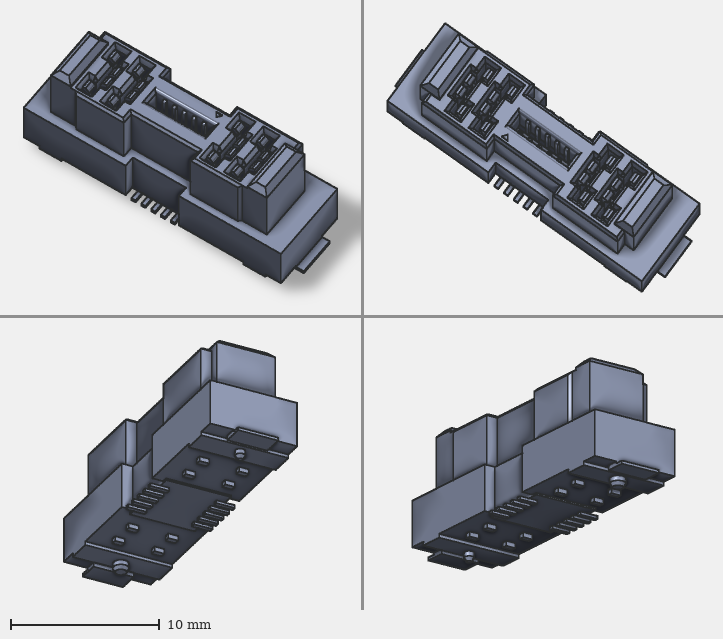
import cadquery as cq
import math


lead_thickness = 0.22
standoff_bottom_z = 0.1
base_bottom_z = 0.35
base_top_z = 3.72
body_top_z = 7.75
post_top_z = 8.33
peg_bottom_z = -0.55

base_length = 21.15
base_width = 6.6
base_neck_length = 4.37
base_neck_width = 4.93
center_plate_length = 5.25
standoff_length = 1.84
standoff_center_x = 8.38

wing_end_x = 8.13
wing_width = 5.47
body_neck_length = 5.47
body_neck_width = 3.75
body_chamfer = 0.2
corner_relief_x = 6.63
corner_relief_bevel = 0.22

post_end_x = 8.87
post_thickness = 1.61
post_front_y = -2.53
post_back_y = 1.9
post_chamfer = 0.43

power_pitch = 2.0
power_inner_x = 4.1
socket_floor_z = base_top_z
power_cell_length = 1.37
power_cell_shift = 0.22
power_middle_shift = 0.27
power_middle_length = 1.3
power_outer_y = 2.3
power_notch_y = 0.76
power_middle_y = 1.32
power_lead_in = 0.22
power_lead_in_depth = 0.45

contact_top_z = 7.57
contact_width = 0.75
contact_nose_x = 0.5
contact_back_x = 2.8
contact_sheet = 1.0
contact_slope_x = 0.9
contact_slope_drop = 0.18
contact_nose_height = 0.4
contact_hook_height = 1.12
middle_contact_y = 0.5
outer_contact_y = 1.5
power_tail_length = 0.4

signal_pitch = 0.8
signal_count = 5
signal_length = 4.75
signal_width = 1.12
signal_rim = 0.22
signal_contact_width = 0.27
signal_contact_reach = 0.2
signal_contact_rounding = 0.18
signal_contact_top_z = 7.35
signal_tail_width = 0.34
signal_tail_end_y = 3.2
signal_tail_start_y = 1.8

mark_length = 0.52
mark_height = 0.35
mark_back_y = 1.48
mark_depth = 0.07
mark_x = 2.15

lock_end_x = 11.2
lock_inner_x = 9.65
lock_width = 3.05
peg_x = 8.6
small_peg_diameter = 0.7
large_peg_diameter = 1.1
peg_chamfer_width = 0.15
peg_chamfer_height = 0.3

SIDES = (-1, 1)
power_centers = [
    side * (power_inner_x + step * power_pitch) for side in SIDES for step in range(2)
]
signal_centers = [(i - (signal_count - 1) / 2) * signal_pitch for i in range(signal_count)]


def block(x_range, y_range, z_range):
    """Box between two limits along each axis, given in either order."""
    sizes = [abs(b - a) for a, b in (x_range, y_range, z_range)]
    lows = [min(pair) for pair in (x_range, y_range, z_range)]
    return cq.Workplane("XY").box(*sizes, centered=False).translate(tuple(lows))


def centered_block(length, width, bottom_z, top_z, x=0, y=0):
    """Box centred at (x, y) between two heights."""
    return block(
        (x - length / 2, x + length / 2), (y - width / 2, y + width / 2), (bottom_z, top_z)
    )


def make_base():
    """Waisted base slab with its center plate and the standoffs that carry the pegs."""
    base = centered_block(base_length, base_width, base_bottom_z, base_top_z)
    for side in SIDES:
        base = base.cut(
            block(
                (-base_neck_length / 2, base_neck_length / 2),
                (side * base_neck_width / 2, side * base_width / 2),
                (base_bottom_z, base_top_z),
            )
        )
        base = base.union(
            centered_block(
                standoff_length, base_width, standoff_bottom_z, base_bottom_z, x=side * standoff_center_x
            )
        )
    return base.union(
        centered_block(center_plate_length, base_neck_width, lead_thickness, base_bottom_z)
    )


def make_body():
    """Waisted mating body with a chamfered rim and its two front corners relieved."""
    end, neck_end = wing_end_x, body_neck_length / 2
    wing, neck = wing_width / 2, body_neck_width / 2
    right_half = [(neck_end, neck), (neck_end, wing), (end, wing)]
    right_half += [(x, -y) for x, y in reversed(right_half)]
    left_half = [(-x, y) for x, y in reversed(right_half)]
    body = (
        cq.Workplane("XY")
        .workplane(offset=base_top_z)
        .polyline(right_half + left_half)
        .close()
        .extrude(body_top_z - base_top_z)
        .faces(">Z")
        .chamfer(body_chamfer)
    )
    for side in SIDES:
        relief = [
            (side * corner_relief_x, -wing),
            (side * (corner_relief_x + corner_relief_bevel), post_front_y),
            (side * end, post_front_y),
            (side * end, -wing),
        ]
        body = body.cut(
            cq.Workplane("XY")
            .workplane(offset=base_top_z)
            .polyline(relief)
            .close()
            .extrude(body_top_z - base_top_z)
        )
    return body


def make_post(side):
    """Guide post with a chamfered tip."""
    return (
        block(
            (side * post_end_x, side * (post_end_x - post_thickness)),
            (post_front_y, post_back_y),
            (base_top_z, post_top_z),
        )
        .faces(">Z")
        .chamfer(post_chamfer)
    )


def power_outline(z):
    """Stepped outline of a power socket mouth at height z, around X = 0."""
    left = -power_cell_shift - power_cell_length / 2
    right = left + power_cell_length
    middle_left = power_middle_shift - power_middle_length / 2
    middle_right = middle_left + power_middle_length
    upper = [
        (middle_left, power_notch_y),
        (left, power_notch_y),
        (left, power_outer_y),
        (right, power_outer_y),
        (right, power_middle_y),
        (middle_right, power_middle_y),
    ]
    lower = [(x, -y) for x, y in reversed(upper)]
    return cq.Workplane("XY").workplane(offset=z).polyline(upper + lower).close()


def make_power_socket():
    """Stepped cavity with a steep lead-in slope around its mouth."""
    slope_angle = math.degrees(math.atan2(power_lead_in, power_lead_in_depth))
    lead_in = power_outline(body_top_z).extrude(-power_lead_in_depth, taper=slope_angle)
    shaft = power_outline(socket_floor_z).offset2D(-power_lead_in, "intersection")
    return lead_in.union(shaft.extrude(body_top_z - power_lead_in_depth - socket_floor_z))


def make_power_contact(direction, y):
    """Sheet contact on one side of a power socket, its hooked tip pointing to the socket middle."""
    sheet_front = contact_back_x - contact_sheet
    slope_bottom = contact_top_z - contact_slope_drop
    nose_bottom = slope_bottom - contact_nose_height
    return (
        cq.Workplane("XZ")
        .moveTo(direction * contact_back_x, socket_floor_z)
        .lineTo(direction * contact_back_x, contact_top_z)
        .lineTo(direction * sheet_front, contact_top_z)
        .lineTo(direction * contact_slope_x, slope_bottom)
        .threePointArc(
            (direction * contact_nose_x, (slope_bottom + nose_bottom) / 2),
            (direction * contact_slope_x, nose_bottom),
        )
        .lineTo(direction * sheet_front, contact_top_z - contact_hook_height)
        .lineTo(direction * sheet_front, socket_floor_z)
        .close()
        .extrude(contact_width / 2, both=True)
        .translate((0, y, 0))
    )


def make_power_contacts():
    """The four contacts of a power socket and their solder tails below the base."""
    contacts = cq.Workplane("XY")
    for side in SIDES:
        contacts = contacts.union(make_power_contact(0.22, side * middle_contact_y))
        contacts = contacts.union(make_power_contact(-0.22, side * outer_contact_y))
        contacts = contacts.union(
            centered_block(power_tail_length, contact_width, 0, base_bottom_z, y=side * outer_contact_y)
        )
    return contacts


def make_signal_socket():
    """Slot with chamfered short rims, rounded long rims and a floor narrowed by two bevels."""
    shaft = centered_block(signal_length, signal_width, socket_floor_z, body_top_z)
    shaft = shaft.faces("<Z").edges("|X").chamfer(signal_rim)
    half = signal_width / 2
    rim_bottom = body_top_z - signal_rim
    arc_mid = signal_rim * (1 - math.sqrt(0.5))
    long_rims = (
        cq.Workplane("YZ")
        .moveTo(-half, rim_bottom)
        .threePointArc((-half - arc_mid, body_top_z - arc_mid), (-half - signal_rim, body_top_z))
        .lineTo(half + signal_rim, body_top_z)
        .threePointArc((half + arc_mid, body_top_z - arc_mid), (half, rim_bottom))
        .close()
        .extrude(signal_length / 2 + signal_rim, both=True)
    )
    short_rims = (
        cq.Workplane("XZ")
        .polyline(
            [
                (-signal_length / 2, rim_bottom),
                (-signal_length / 2 - signal_rim, body_top_z),
                (signal_length / 2 + signal_rim, body_top_z),
                (signal_length / 2, rim_bottom),
            ]
        )
        .close()
        .extrude(half + signal_rim, both=True)
    )
    return shaft.union(long_rims.intersect(short_rims))


def make_signal_contact(side):
    """Rounded contact on one long wall of the signal socket, with its solder tail."""
    wall = side * signal_width / 2
    contact = (
        block(
            (-signal_contact_width / 2, signal_contact_width / 2),
            (wall, wall - side * signal_contact_reach),
            (socket_floor_z, signal_contact_top_z),
        )
        .faces(">Z")
        .edges(">Y" if side < 0 else "<Y")
        .fillet(signal_contact_rounding)
    )
    tail = block(
        (-signal_tail_width / 2, signal_tail_width / 2),
        (side * signal_tail_start_y, side * signal_tail_end_y),
        (0, lead_thickness),
    )
    return contact.union(tail)


def make_pin_one_mark():
    """Shallow triangular recess beside the +X end of the signal socket."""
    return (
        cq.Workplane("XY")
        .workplane(offset=body_top_z - mark_depth)
        .polyline(
            [
                (mark_x - mark_length / 2, mark_back_y),
                (mark_x + mark_length / 2, mark_back_y),
                (mark_x, mark_back_y - mark_height),
            ]
        )
        .close()
        .extrude(mark_depth)
    )


def make_board_lock(side):
    """Solder tab under one end of the base, thick below the base and thin outside it."""
    half = lock_width / 2
    lip = block((side * lock_inner_x, side * lock_end_x), (-half, half), (0, lead_thickness))
    root = block((side * lock_inner_x, side * base_length / 2), (-half, half), (0, base_bottom_z))
    return lip.union(root)


def make_peg(x, diameter):
    """Locating peg with a tapered tip."""
    return (
        cq.Workplane("XY")
        .workplane(offset=peg_bottom_z)
        .center(x, 0)
        .circle(diameter / 2)
        .extrude(standoff_bottom_z - peg_bottom_z)
        .faces("<Z")
        .chamfer(peg_chamfer_height, peg_chamfer_width)
    )


result = make_base().union(make_body())
for side in SIDES:
    result = result.union(make_post(side))
    result = result.union(make_board_lock(side))
result = result.union(make_peg(-peg_x, small_peg_diameter))
result = result.union(make_peg(peg_x, large_peg_diameter))

result = result.cut(make_signal_socket()).cut(make_pin_one_mark())
for x in power_centers:
    result = result.cut(make_power_socket().translate((x, 0, 0)))

for x in power_centers:
    result = result.union(make_power_contacts().translate((x, 0, 0)))
for x in signal_centers:
    for side in SIDES:
        result = result.union(make_signal_contact(side).translate((x, 0, 0)))